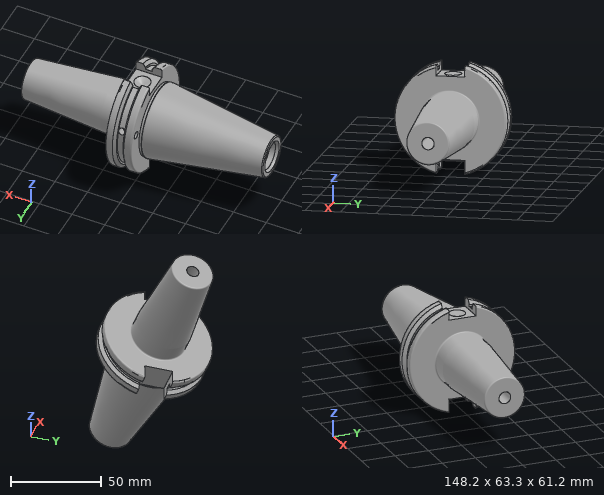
import cadquery as cq
import math

total_length = 148.2
gauge_x = 68.2
flange_start = 71.3
flange_end = 87.3
nose_taper_start = 97.5

gauge_diameter = 44.5
taper_ratio = 7 / 24
small_diameter = gauge_diameter - taper_ratio * gauge_x
small_end_chamfer = 0.6
gauge_band = 1.5
neck_diameter = 43.6

flange_diameter = 63.3
flange_rounding = 1.0
groove_x = 79.5
groove_diameter = 56.3
groove_floor_width = 4.0
groove_chamfer_width = 1.5
groove_chamfer_depth = 2.2

nose_diameter = 32.0
nose_tip_diameter = 24.2
nose_root_fillet = 0.9
nose_tip_fillet = 0.9

mouth_diameter = 18.4
thread_diameter = 16.3
mouth_depth = 1.8
thread_depth = 5.3
pilot_diameter = 13.3
pilot_depth = 35.6
through_diameter = 7.0
drill_half_angle = 59.0
bore_cone_length = (pilot_diameter - through_diameter) / 2 / math.tan(math.radians(drill_half_angle))

slot_width = 16.2
upper_slot_height = 24.9
lower_slot_height = 22.5
dimple_diameter = 9.5
dimple_depth = 2.7

coolant_angle = 20.0
coolant_radius = 27.0
coolant_diameter = 4.2
coolant_slope = 30.0
coolant_lead = 3.0
groove_hole_diameter = 4.0


def make_body():
    """Revolve the outer profile, then round the flange and nose edges."""
    flange_radius = flange_diameter / 2
    groove_radius = groove_diameter / 2
    floor_half = groove_floor_width / 2
    chamfer_radius = flange_radius - groove_chamfer_depth
    profile = [
        (0, 0),
        (0, small_diameter / 2 - small_end_chamfer),
        (small_end_chamfer, (small_diameter + taper_ratio * small_end_chamfer) / 2),
        (gauge_x, gauge_diameter / 2),
        (gauge_x + gauge_band, gauge_diameter / 2),
        (gauge_x + gauge_band, neck_diameter / 2),
        (flange_start, neck_diameter / 2),
        (flange_start, flange_radius),
        (groove_x - floor_half - groove_chamfer_width, flange_radius),
        (groove_x - floor_half, chamfer_radius),
        (groove_x - floor_half, groove_radius),
        (groove_x + floor_half, groove_radius),
        (groove_x + floor_half, chamfer_radius),
        (groove_x + floor_half + groove_chamfer_width, flange_radius),
        (flange_end, flange_radius),
        (flange_end, nose_diameter / 2),
        (nose_taper_start, nose_diameter / 2),
        (total_length, nose_tip_diameter / 2),
        (total_length, 0),
    ]
    body = cq.Workplane("XY").polyline(profile).close().revolve(360, (0, 0, 0), (1, 0, 0))

    def edge_at(x, radius):
        margin = 0.1
        return cq.selectors.BoxSelector(
            (x - margin, -radius - margin, -radius - margin),
            (x + margin, radius + margin, radius + margin),
            boundingbox=True,
        )

    body = body.edges(edge_at(flange_end, nose_diameter / 2)).fillet(nose_root_fillet)
    body = body.edges(edge_at(total_length, nose_tip_diameter / 2)).fillet(nose_tip_fillet)
    for x in (flange_start, flange_end):
        rim = edge_at(x, flange_radius) - edge_at(x, neck_diameter / 2)
        body = body.edges(rim).fillet(flange_rounding)
    return body


def make_bore():
    """Stepped bore from the small end, running through to the nose."""
    profile = [
        (0, 0),
        (0, mouth_diameter / 2),
        (mouth_depth, thread_diameter / 2),
        (thread_depth, thread_diameter / 2),
        (thread_depth, pilot_diameter / 2),
        (pilot_depth, pilot_diameter / 2),
        (pilot_depth + bore_cone_length, through_diameter / 2),
        (total_length, through_diameter / 2),
        (total_length, 0),
    ]
    return cq.Workplane("XY").polyline(profile).close().revolve(360, (0, 0, 0), (1, 0, 0))


def make_slot(floor_height, side):
    """Drive slot across the flange; side is +1 for the top, -1 for the bottom."""
    flange_width = flange_end - flange_start
    slot_depth = flange_diameter / 2 - floor_height
    center_x = (flange_start + flange_end) / 2
    center_z = side * (floor_height + slot_depth / 2)
    slot = cq.Workplane("XY").box(flange_width, slot_width, slot_depth)
    return slot.translate((center_x, 0, center_z))


def make_dimple():
    """Conical dimple in the floor of the upper slot."""
    cone = cq.Solid.makeCone(
        dimple_diameter / 2, 0, dimple_depth,
        pnt=cq.Vector(groove_x, 0, upper_slot_height),
        dir=cq.Vector(0, 0, -1),
    )
    return cq.Workplane(obj=cone)


def make_coolant_hole(turn):
    """Hole sloping inward from the flange face, met by a radial hole from the groove floor."""
    slope = math.radians(coolant_slope)
    reach = groove_x - flange_start
    meeting_radius = coolant_radius - reach * math.tan(slope)
    axis = cq.Vector(math.cos(slope), -math.sin(slope), 0)
    sloped_hole = cq.Solid.makeCylinder(
        coolant_diameter / 2,
        coolant_lead + reach / math.cos(slope),
        pnt=cq.Vector(flange_start, coolant_radius, 0) - axis * coolant_lead,
        dir=axis,
    )
    radial_hole = cq.Solid.makeCylinder(
        groove_hole_diameter / 2,
        groove_diameter / 2 - meeting_radius,
        pnt=cq.Vector(groove_x, meeting_radius, 0),
        dir=cq.Vector(0, 1, 0),
    )
    holes = cq.Workplane(obj=sloped_hole.fuse(radial_hole))
    return holes.rotate((0, 0, 0), (1, 0, 0), coolant_angle + turn)


result = make_body().cut(make_bore())
result = result.cut(make_slot(upper_slot_height, 1)).cut(make_slot(lower_slot_height, -1))
result = result.cut(make_dimple())
for turn in (0, 180):
    result = result.cut(make_coolant_hole(turn))